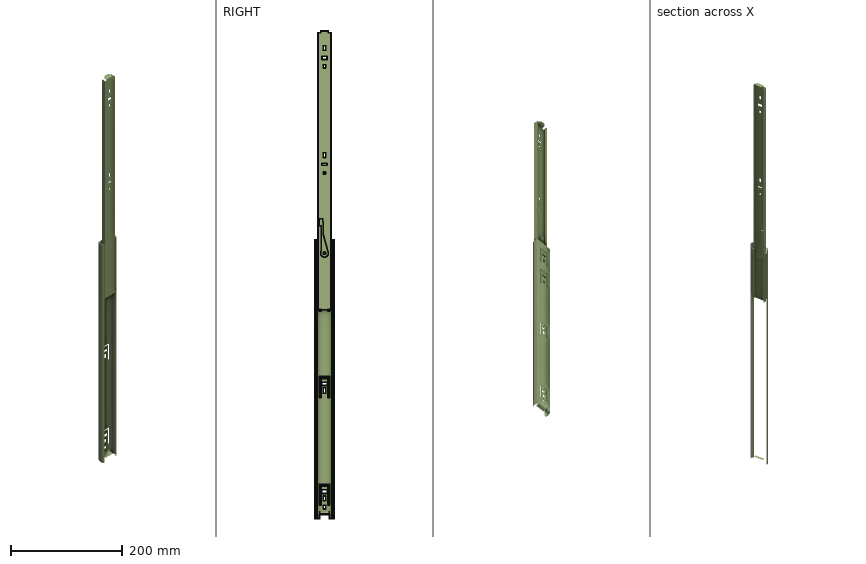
import math

import cadquery as cq

DEPTH = 12.7
WIDTH = 35.59
RAIL_LENGTH = 500.0
TRAVEL = 375.0
OVERALL_LENGTH = RAIL_LENGTH + TRAVEL
SHEET = 1.2

BACK = -DEPTH / 2
FRONT = DEPTH / 2
HALF_WIDTH = WIDTH / 2

OUTER_WEB = (BACK, BACK + SHEET)
WEB_HALF_WIDTH = 15.2
FLANGE_BACK = BACK + 1.1
FLANGE_BACK_HALF_WIDTH = 16.2
CORNER_BULGE = 0.2
RACE_START = -1.0
RACE_CROWN = 1.5
RACE_RADIUS = 6.5

INNER_BACK = -2.0
INNER_FRONT = FRONT - 0.2
INNER_WEB = (INNER_FRONT - SHEET, INNER_FRONT)
INNER_HALF_WIDTH = 12.3
INNER_LIP_HALF_WIDTH = 11.8
GROOVE_X = 0.8
GROOVE_HALF_WIDTH = 11.1
INNER_BOTTOM = TRAVEL
INNER_TOP = OVERALL_LENGTH - 3.0

TOP_TAB_WIDTH = 14.0
TOP_TAB_BACK = -4.0
TOP_TAB_CHAMFER = 3.0

INNER_OPENINGS = [
    (844.4, 4.0, 7.6),
    (826.6, 8.5, 5.4),
    (811.4, 4.0, 5.4),
    (652.0, 4.0, 8.0),
    (635.6, 8.5, 2.8),
    (620.0, 4.0, 3.2),
]

TONGUE_WIDTH = 13.2
TONGUE_GAP = 2.6
TONGUE_TOP_GAP = 3.0
WINDOW_WIDTH = 10.0
SCREW_HOLE_WIDTH = 4.0
BAR_HOLE_RADIUS = 2.25
BAR_HOLE_DROP = 3.8
TONGUES = [
    (481.5, 43.5, 9.5, 7.0, 26.5, 11.0, True),
    (418.0, 46.0, 10.0, 6.5, 29.0, 8.0, True),
    (254.5, 37.0, 7.0, 5.5, 20.0, 9.5, False),
    (61.5, 37.0, 7.0, 6.5, 21.5, 8.0, False),
]

REAR_HOLE_Z = 20.5
REAR_HOLE_HEIGHT = 6.0
REAR_NOTCH_WIDTH = 17.5
REAR_NOTCH_HEIGHT = 12.5
REAR_TAB_BEND = 5.5
REAR_TAB_REACH = 5.0

END_PIECE_Z = (RAIL_LENGTH - 16.5, RAIL_LENGTH)
END_PIECE_WIDTH = 29.0
END_PIECE_HOLE_RADIUS = 2.0
END_PIECE_HOLE_Z = 488.0
END_PIECE_NOTCH_DEPTH = 4.5
END_PIECE_NOTCH_Z = (488.5, 490.0)

STRIP_X = (1.0, 3.2)
STRIP_INNER = 12.3
STRIP_OUTER = 16.1
STRIP_END_GAP = 10.0
STRIP_Z = (TRAVEL + STRIP_END_GAP, RAIL_LENGTH - STRIP_END_GAP)

LEVER_THICKNESS = 2.0
LEVER_X = (INNER_WEB[0] - LEVER_THICKNESS, INNER_WEB[0])
LEVER_TOP = 538.0
LEVER_ARM_TOP = 525.0
LEVER_ARM_BOTTOM = 508.0
LEVER_PIVOT_Z = 476.0
LEVER_HUB_RADIUS = 7.0
LEVER_ARM_SIDES = (-6.0, -1.8)
LEVER_HEAD_SIDES = (-9.0, -3.5)
PIVOT_RADIUS = 2.2


def box(x_range, y_range, z_range):
    """Box between the given limits."""
    size = [high - low for low, high in (x_range, y_range, z_range)]
    corner = (x_range[0], y_range[0], z_range[0])
    return cq.Workplane("XY").box(*size, centered=False).translate(corner)


def centred_box(x_range, width, z_range):
    """Box centred across the width of the slide."""
    return box(x_range, (-width / 2, width / 2), z_range)


def side_box(x_range, near, far, z_range, side):
    """Box between two distances from the middle plane, on the given side (-1 or 1)."""
    return box(x_range, sorted((side * near, side * far)), z_range)


def centred_pin(x_range, radius, z):
    """Cylinder along X on the middle plane."""
    length = x_range[1] - x_range[0]
    return cq.Workplane("YZ", origin=(x_range[0], 0, z)).circle(radius).extrude(length)


def around(z, height):
    """Limits of a height centred on z."""
    return (z - height / 2, z + height / 2)


def race_point(x, inset):
    """Point of the ball race at the given X."""
    radius = RACE_RADIUS - inset
    centre_y = HALF_WIDTH - RACE_RADIUS
    return (x, centre_y + math.sqrt(radius**2 - (x - RACE_CROWN) ** 2))


def outer_outline(inset):
    """Outline of the outer rail, shrunk by the inset and reaching to the open front."""
    web = (BACK + inset, WEB_HALF_WIDTH - inset)
    flange = (FLANGE_BACK + inset, FLANGE_BACK_HALF_WIDTH - inset)
    corner = ((web[0] + flange[0]) / 2 - CORNER_BULGE, (web[1] + flange[1]) / 2 + CORNER_BULGE)
    crease = race_point(RACE_START, inset)
    crown = race_point(RACE_CROWN, inset)
    lip = race_point(FRONT, inset)

    def mirrored(point):
        return (point[0], -point[1])

    return (
        cq.Workplane("XY")
        .moveTo(*mirrored(web))
        .lineTo(*web)
        .threePointArc(corner, flange)
        .lineTo(*crease)
        .threePointArc(crown, lip)
        .lineTo(*mirrored(lip))
        .threePointArc(mirrored(crown), mirrored(crease))
        .lineTo(*mirrored(flange))
        .threePointArc(mirrored(corner), mirrored(web))
        .close()
    )


def tongue_cuts(top, length, bar, window, hole_drop, hole_height, has_bar_hole):
    """Cutters that free one mounting tongue and open its window and holes."""
    half = TONGUE_WIDTH / 2
    bar_top = top - TONGUE_TOP_GAP
    window_top = bar_top - bar
    hole_top = top - hole_drop
    cuts = [
        centred_box(OUTER_WEB, TONGUE_WIDTH, (bar_top, top)),
        centred_box(OUTER_WEB, WINDOW_WIDTH, (window_top - window, window_top)),
        centred_box(OUTER_WEB, SCREW_HOLE_WIDTH, (hole_top - hole_height, hole_top)),
    ]
    for side in (-1, 1):
        cuts.append(side_box(OUTER_WEB, half, half + TONGUE_GAP, (top - length, top), side))
    if has_bar_hole:
        cuts.append(centred_pin(OUTER_WEB, BAR_HOLE_RADIUS, bar_top - BAR_HOLE_DROP))
    return cuts


def make_rear_tab():
    """Stop tab folded into the channel from the head of the rear notch."""
    bend_x = BACK + REAR_TAB_BEND
    tab_front = bend_x + REAR_TAB_REACH
    tab_bottom = REAR_NOTCH_HEIGHT - REAR_TAB_BEND
    tab_top = tab_bottom + SHEET

    def bend_middle(radius):
        offset = radius * math.sqrt(0.5)
        return (bend_x - offset, REAR_NOTCH_HEIGHT - offset)

    return (
        cq.Workplane("XZ", origin=(0, REAR_NOTCH_WIDTH / 2, 0))
        .moveTo(BACK, REAR_NOTCH_HEIGHT)
        .threePointArc(bend_middle(REAR_TAB_BEND), (bend_x, tab_bottom))
        .lineTo(tab_front, tab_bottom)
        .lineTo(tab_front, tab_top)
        .lineTo(bend_x, tab_top)
        .threePointArc(bend_middle(REAR_TAB_BEND - SHEET), (BACK + SHEET, REAR_NOTCH_HEIGHT))
        .close()
        .extrude(REAR_NOTCH_WIDTH)
    )


def make_outer_rail():
    rail = outer_outline(0).extrude(RAIL_LENGTH)
    rail = rail.cut(outer_outline(SHEET).extrude(RAIL_LENGTH))
    for tongue in TONGUES:
        for cutter in tongue_cuts(*tongue):
            rail = rail.cut(cutter)
    rail = rail.cut(centred_box(OUTER_WEB, SCREW_HOLE_WIDTH, around(REAR_HOLE_Z, REAR_HOLE_HEIGHT)))
    rail = rail.cut(centred_box(OUTER_WEB, REAR_NOTCH_WIDTH, (0, REAR_NOTCH_HEIGHT)))
    rail = rail.cut(centred_box(OUTER_WEB, END_PIECE_WIDTH, END_PIECE_Z))
    return rail.union(make_rear_tab())


def inner_outline(inset):
    """Outline of the inner rail, shrunk by the inset and reaching to the open back."""
    half = [
        (INNER_BACK, INNER_LIP_HALF_WIDTH - inset),
        (GROOVE_X, GROOVE_HALF_WIDTH - inset),
        (INNER_FRONT - inset, INNER_HALF_WIDTH - inset),
    ]
    mirrored = [(x, -y) for x, y in reversed(half)]
    return cq.Workplane("XY").polyline(half + mirrored).close()


def make_top_tab():
    """Upright end of the inner web with the tab folded back from it."""
    upright = centred_box(INNER_WEB, TOP_TAB_WIDTH, (INNER_TOP, OVERALL_LENGTH))
    tab_z = (OVERALL_LENGTH - SHEET, OVERALL_LENGTH)
    tab = centred_box((TOP_TAB_BACK, INNER_FRONT), TOP_TAB_WIDTH, tab_z)
    return upright.union(tab.edges("|Z and <X").chamfer(TOP_TAB_CHAMFER))


def make_inner_rail():
    length = INNER_TOP - INNER_BOTTOM
    rail = inner_outline(0).extrude(length)
    rail = rail.cut(inner_outline(SHEET).extrude(length))
    rail = rail.translate((0, 0, INNER_BOTTOM))
    rail = rail.union(make_top_tab())
    for z, width, height in INNER_OPENINGS:
        rail = rail.cut(centred_box(INNER_WEB, width, around(z, height)))
    return rail.cut(centred_pin(INNER_WEB, PIVOT_RADIUS, LEVER_PIVOT_Z))


def make_end_piece():
    half = END_PIECE_WIDTH / 2
    piece = centred_box(OUTER_WEB, END_PIECE_WIDTH, END_PIECE_Z)
    piece = piece.cut(centred_pin(OUTER_WEB, END_PIECE_HOLE_RADIUS, END_PIECE_HOLE_Z))
    for side in (-1, 1):
        notch = side_box(OUTER_WEB, half - END_PIECE_NOTCH_DEPTH, half, END_PIECE_NOTCH_Z, side)
        piece = piece.cut(notch)
    return piece


def make_lever():
    arm_outer, arm_inner = LEVER_ARM_SIDES
    head_outer, head_inner = LEVER_HEAD_SIDES
    outline = [
        (arm_outer, LEVER_PIVOT_Z),
        (arm_outer, LEVER_ARM_TOP),
        (head_outer, LEVER_ARM_TOP),
        (head_outer, LEVER_TOP),
        (head_inner, LEVER_TOP),
        (arm_inner, LEVER_ARM_TOP),
        (arm_inner, LEVER_ARM_BOTTOM),
        (LEVER_HUB_RADIUS, LEVER_PIVOT_Z),
    ]
    arm = cq.Workplane("YZ", origin=(LEVER_X[0], 0, 0)).polyline(outline).close().extrude(LEVER_THICKNESS)
    lever = arm.union(centred_pin(LEVER_X, LEVER_HUB_RADIUS, LEVER_PIVOT_Z))
    return lever.cut(centred_pin(LEVER_X, PIVOT_RADIUS, LEVER_PIVOT_Z))


def make_pivot():
    """Pin through the lever and the inner web."""
    return centred_pin((LEVER_X[0], INNER_FRONT), PIVOT_RADIUS, LEVER_PIVOT_Z)


def make_bearing_strip(side):
    return side_box(STRIP_X, STRIP_INNER, STRIP_OUTER, STRIP_Z, side)


outer_rail = make_outer_rail()
inner_rail = make_inner_rail()
end_piece = make_end_piece()
lever = make_lever()
pivot = make_pivot()
bearing_strips = [make_bearing_strip(side) for side in (-1, 1)]

result = cq.Compound.makeCompound(
    [
        outer_rail.val(),
        inner_rail.val(),
        end_piece.val(),
        lever.val(),
        pivot.val(),
        *[strip.val() for strip in bearing_strips],
    ]
)